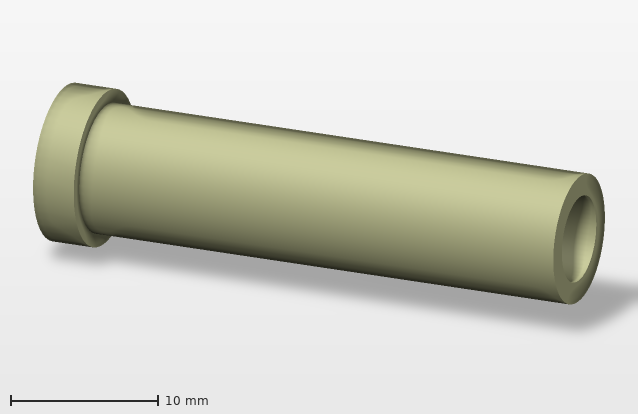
import cadquery as cq

length = 38.0
flange_thickness = 3.0
flange_diameter = 10.9
body_diameter = 9.0
bore_diameter = 6.0

body = cq.Workplane("YZ").circle(body_diameter / 2).extrude(length)

flange = cq.Workplane("YZ").circle(flange_diameter / 2).extrude(flange_thickness)

bore = cq.Workplane("YZ").circle(bore_diameter / 2).extrude(length)

result = body.union(flange).cut(bore)